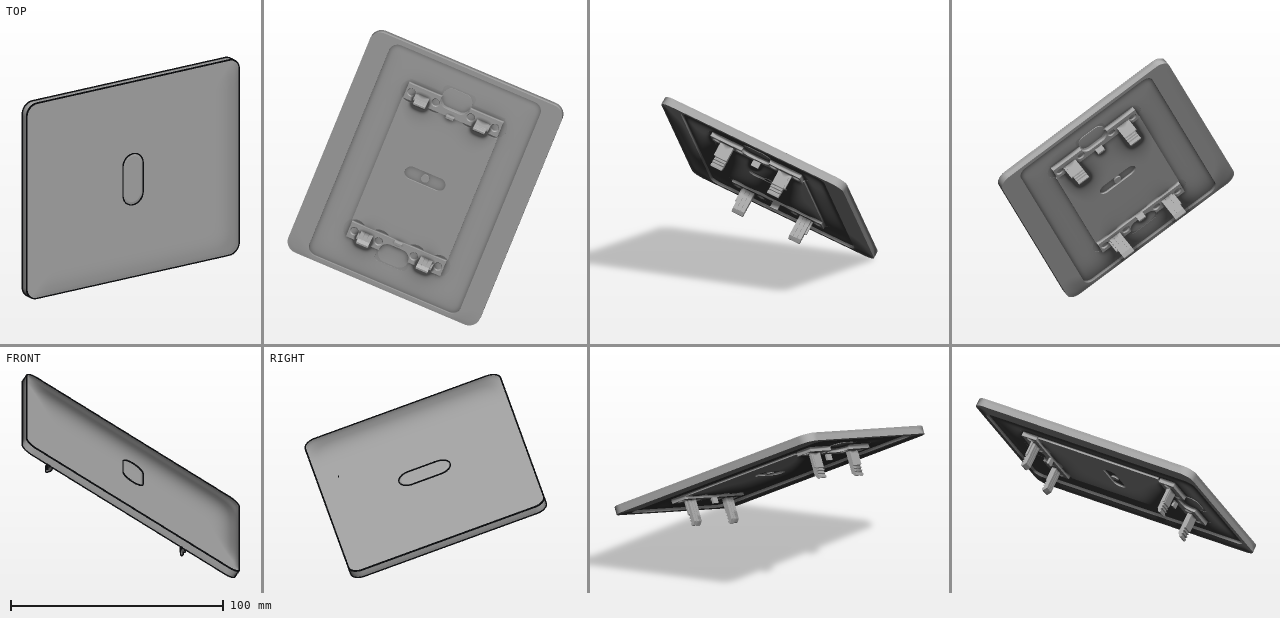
import cadquery as cq

TILT_ABOUT_Y = 33.3
TILT_ABOUT_X = 20

PLATE_LENGTH = 119.9
PLATE_WIDTH = 98.0
PLATE_THICKNESS = 4.0
PLATE_CORNER_RADIUS = 5.8
FRONT_CHAMFER = 0.2
FRONT_Z = PLATE_THICKNESS / 2
RIM_Z = -PLATE_THICKNESS / 2

RECESS_LENGTH = 115.3
RECESS_WIDTH = 77.3
RECESS_DEPTH = 1.4
RECESS_CORNER_RADIUS = 4.5
FLOOR_Z = RIM_Z + RECESS_DEPTH

BOSS_DIAMETER = 3.9
BOSS_HEIGHT = 1.0

LENS_LENGTH = 25.6
LENS_WIDTH = 11.4
LENS_DEPTH = 1.1
LENS_BORDER_WIDTH = 1.4
LENS_BORDER_DROP = 0.2

BAR_OFFSET = 38.0
BAR_LENGTH = 48.2
BAR_WIDTH = 8.0
BAR_HEIGHT = 2.2
SEAT_DEPTH = 0.1
BAR_BASE_Z = FLOOR_Z + SEAT_DEPTH
BAR_TOP_Z = BAR_BASE_Z - BAR_HEIGHT

DIMPLE_PLACES = (-21.4, -9.0, 9.0, 21.4)
DIMPLE_DIAMETER = 4.1
DIMPLE_DEPTH = 0.7
DIMPLE_TAPER = 30
LOBE_RADIUS = 5.6
SEAT_CLEARANCE = 0.1

PAD_LENGTH = 14.8
PAD_WIDTH = 10.0
PAD_CORNER_RADIUS = 4.3
PAD_SHIFT = 4.2
PAD_THICKNESS = 0.3
PAD_BEVEL = 0.6
PAD_CLEARANCE = 0.8
PAD_SEAT_CORNER_RADIUS = 2.3

TAB_WIDTH = 3.9
TAB_THICKNESS = 1.0
TAB_HEIGHT = 3.0

CLIP_SPACING = 30.5
CLIP_WIDTH = 6.0
CLIP_OUTER = 0.7
CLIP_INNER = 1.6
CLIP_SHOULDER = 7.0
CLIP_TEETH_END = 11.4
CLIP_INNER_END = 10.5
CLIP_HEIGHT = 12.2
CLIP_TIP_OUTER = 0.5
CLIP_TIP_INNER = 0.3
TOOTH_COUNT = 3
TOOTH_DEPTH = 0.6
TOOTH_PITCH = (CLIP_TEETH_END - CLIP_SHOULDER) / TOOTH_COUNT

CLIP_GROOVE_SPACING = 2.0
CLIP_GROOVE_WIDTH = 0.2
CLIP_GROOVE_DEPTH = 0.2
FLANGE_WIDTH = 0.9
FLANGE_THICKNESS = 0.9
FLANGE_HEIGHT = 6.8

PANEL_THICKNESS = 1.0
PANEL_WIDTH = 48.9
PANEL_Z = FLOOR_Z - PANEL_THICKNESS
SLOT_LENGTH = 20.5
SLOT_WIDTH = 6.6


def slab(length, width, front_z, back_z, x=0, y=0):
    """Rectangular block between a front and a back height."""
    return cq.Workplane("XY", origin=(x, y, back_z)).rect(length, width).extrude(front_z - back_z)


def rounded_slab(length, width, radius, front_z, back_z, x=0):
    """Rectangular block with rounded corners between a front and a back height."""
    return slab(length, width, front_z, back_z, x).edges("|Z").fillet(radius)


def obround(length, width, front_z, back_z):
    """Obround prism, long along Y, between a front and a back height."""
    return cq.Workplane("XY", origin=(0, 0, back_z)).slot2D(length, width, 90).extrude(front_z - back_z)


def half_turn(shape):
    return shape.rotate((0, 0, 0), (0, 0, 1), 180)


def make_seat(front_z, back_z):
    """Space for the bar at the -X end: lobes around its dimples and room for its pad."""
    inner_edge = -BAR_OFFSET + BAR_WIDTH / 2 + SEAT_CLEARANCE
    outer_edge = -BAR_OFFSET - LOBE_RADIUS
    middle = (inner_edge + outer_edge) / 2
    seat = slab(inner_edge - outer_edge, BAR_LENGTH + 2 * SEAT_CLEARANCE, front_z, back_z, middle)
    lobes = (
        cq.Workplane("XY", origin=(-BAR_OFFSET, 0, back_z))
        .pushPoints([(0, y) for y in DIMPLE_PLACES])
        .circle(LOBE_RADIUS)
        .extrude(front_z - back_z)
    )
    pad_space = rounded_slab(
        PAD_WIDTH + 2 * PAD_CLEARANCE,
        PAD_LENGTH + 2 * PAD_CLEARANCE,
        PAD_SEAT_CORNER_RADIUS,
        front_z,
        back_z,
        -BAR_OFFSET - PAD_SHIFT,
    )
    return seat.union(lobes).union(pad_space)


def make_plate():
    plate = rounded_slab(PLATE_LENGTH, PLATE_WIDTH, PLATE_CORNER_RADIUS, FRONT_Z, RIM_Z)
    plate = plate.faces(">Z").chamfer(FRONT_CHAMFER)
    plate = plate.cut(rounded_slab(RECESS_LENGTH, RECESS_WIDTH, RECESS_CORNER_RADIUS, FLOOR_Z, RIM_Z))
    seat = make_seat(BAR_BASE_Z, FLOOR_Z)
    plate = plate.cut(seat).cut(half_turn(seat))
    plate = plate.cut(obround(LENS_LENGTH, LENS_WIDTH, FRONT_Z, FRONT_Z - LENS_DEPTH))
    boss = cq.Workplane("XY", origin=(0, 0, FLOOR_Z)).circle(BOSS_DIAMETER / 2).extrude(-BOSS_HEIGHT)
    return plate.union(boss)


def make_lens():
    lens = obround(LENS_LENGTH, LENS_WIDTH, FRONT_Z, FRONT_Z - LENS_DEPTH)
    return lens.faces(">Z").edges().chamfer(LENS_BORDER_DROP, LENS_BORDER_WIDTH)


def make_panel():
    """Panel between the bars, scalloped at both ends by the seats of the bars."""
    panel = slab(2 * BAR_OFFSET - BAR_WIDTH, PANEL_WIDTH, FLOOR_Z, PANEL_Z)
    seat = make_seat(FLOOR_Z, PANEL_Z)
    panel = panel.cut(seat).cut(half_turn(seat))
    return panel.cut(obround(SLOT_LENGTH, SLOT_WIDTH, FLOOR_Z, PANEL_Z))


def clip_profile():
    """Outline across a clip: flat then toothed on the outer side, bevelled at the tip."""
    points = [(CLIP_INNER, 0), (-CLIP_OUTER, 0)]
    for i in range(TOOTH_COUNT):
        tooth_start = CLIP_SHOULDER + i * TOOTH_PITCH
        points += [
            (-CLIP_OUTER, -tooth_start),
            (-CLIP_OUTER + TOOTH_DEPTH, -tooth_start - TOOTH_PITCH / 4),
            (-CLIP_OUTER + TOOTH_DEPTH, -tooth_start - TOOTH_PITCH / 2),
            (-CLIP_OUTER, -tooth_start - TOOTH_PITCH * 3 / 4),
        ]
    points += [
        (-CLIP_OUTER, -CLIP_TEETH_END),
        (-CLIP_TIP_OUTER, -CLIP_HEIGHT),
        (CLIP_TIP_INNER, -CLIP_HEIGHT),
        (CLIP_INNER, -CLIP_INNER_END),
    ]
    return points


def make_clip(side):
    """Clip of the bar at the -X end, on the +Y (side = 1) or -Y (side = -1) half."""
    y = side * CLIP_SPACING / 2
    clip = (
        cq.Workplane("XZ", origin=(-BAR_OFFSET, y + CLIP_WIDTH / 2, BAR_TOP_Z))
        .polyline(clip_profile())
        .close()
        .extrude(CLIP_WIDTH)
    )
    groove_x = -BAR_OFFSET + CLIP_INNER - CLIP_GROOVE_DEPTH / 2
    for place in (-CLIP_GROOVE_SPACING / 2, CLIP_GROOVE_SPACING / 2):
        groove = slab(
            CLIP_GROOVE_DEPTH, CLIP_GROOVE_WIDTH, BAR_TOP_Z, BAR_TOP_Z - CLIP_HEIGHT, groove_x, y + place
        )
        clip = clip.cut(groove)
    flange_y = y + side * (CLIP_WIDTH + FLANGE_WIDTH) / 2
    flange = slab(FLANGE_THICKNESS, FLANGE_WIDTH, BAR_TOP_Z, BAR_TOP_Z - FLANGE_HEIGHT, -BAR_OFFSET, flange_y)
    return clip.union(flange)


def make_clip_bar():
    """Bar at the -X end with its pad, dimples, stop tab and two clips."""
    bar = slab(BAR_WIDTH, BAR_LENGTH, BAR_BASE_Z, BAR_TOP_Z, -BAR_OFFSET)

    pad_x = -BAR_OFFSET - PAD_SHIFT
    pad_z = BAR_BASE_Z - PAD_THICKNESS
    pocket = rounded_slab(PAD_WIDTH, PAD_LENGTH, PAD_CORNER_RADIUS, pad_z, BAR_TOP_Z, pad_x)
    bar = bar.cut(pocket.faces(">Z").chamfer(PAD_BEVEL))
    bar = bar.union(rounded_slab(PAD_WIDTH, PAD_LENGTH, PAD_CORNER_RADIUS, BAR_BASE_Z, pad_z, pad_x))

    dimples = (
        cq.Workplane("XY", origin=(-BAR_OFFSET, 0, BAR_TOP_Z))
        .pushPoints([(0, y) for y in DIMPLE_PLACES])
        .circle(DIMPLE_DIAMETER / 2)
        .extrude(DIMPLE_DEPTH, taper=DIMPLE_TAPER)
    )
    tab_x = -BAR_OFFSET + (BAR_WIDTH - TAB_THICKNESS) / 2
    tab = slab(TAB_THICKNESS, TAB_WIDTH, BAR_TOP_Z, BAR_TOP_Z - TAB_HEIGHT, tab_x)
    bar = bar.cut(dimples).union(tab)
    for side in (-1, 1):
        bar = bar.union(make_clip(side))
    return bar


def tilted(body):
    body = body.rotate((0, 0, 0), (0, 1, 0), TILT_ABOUT_Y)
    return body.rotate((0, 0, 0), (1, 0, 0), TILT_ABOUT_X)


plate = tilted(make_plate())
lens = tilted(make_lens())
panel = tilted(make_panel())
clip_bars = [tilted(make_clip_bar().rotate((0, 0, 0), (0, 0, 1), turn)) for turn in (0, 180)]

result = cq.Compound.makeCompound(
    [plate.val(), lens.val(), panel.val(), *[bar.val() for bar in clip_bars]]
)